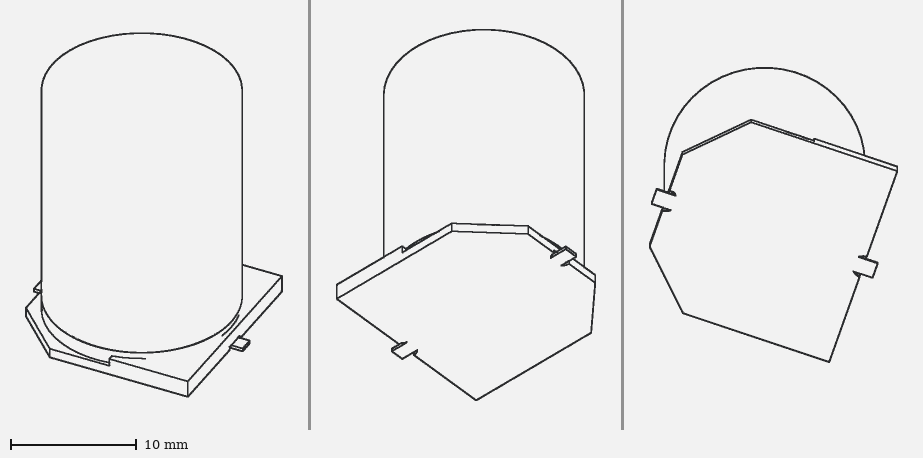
import cadquery as cq

height = 22.0
lead_span = 18.6
base_width = 16.6
base_half = base_width / 2

base_corner_cut = 4.3
base_low_height = 0.84
base_high_height = 1.5
base_step_x = 1.3

can_radius = 8.0
top_edge_round = 0.1
groove_bottom = base_high_height
groove_top = 2.05
groove_depth = 0.29
groove_lip_round = 0.09

lead_width = 1.25
lead_thickness = 0.29
recess_radius = 0.88


def make_base():
    low_plate = (
        cq.Workplane("XY")
        .rect(base_width, base_width)
        .extrude(base_low_height)
        .edges("|Z and <X")
        .chamfer(base_corner_cut)
    )
    high_plate = (
        cq.Workplane("XY")
        .center((base_step_x + base_half) / 2, 0)
        .rect(base_half - base_step_x, base_width)
        .extrude(base_high_height)
    )
    return low_plate.union(high_plate)


def make_can():
    groove_middle = (groove_bottom + groove_top) / 2
    can = (
        cq.Workplane("XZ")
        .lineTo(can_radius, 0)
        .lineTo(can_radius, groove_bottom)
        .threePointArc((can_radius - groove_depth, groove_middle), (can_radius, groove_top))
        .lineTo(can_radius, height)
        .lineTo(0, height)
        .close()
        .revolve(360, (0, 0, 0), (0, 1, 0))
    )
    can = can.faces(">Z").edges().fillet(top_edge_round)
    groove_zone = cq.selectors.BoxSelector(
        (-base_width, -base_width, groove_bottom - groove_lip_round),
        (base_width, base_width, groove_top + groove_lip_round),
    )
    return can.edges(groove_zone).edges("%CIRCLE").fillet(groove_lip_round)


def make_recess(side):
    return cq.Workplane("XY").center(side * base_half, 0).circle(recess_radius).extrude(lead_thickness)


def make_lead(side):
    inner_end = base_half - recess_radius
    outer_end = lead_span / 2
    return (
        cq.Workplane("XY")
        .center(side * (inner_end + outer_end) / 2, 0)
        .rect(outer_end - inner_end, lead_width)
        .extrude(lead_thickness)
    )


result = make_base().union(make_can())
for side in (-1, 1):
    result = result.cut(make_recess(side)).union(make_lead(side))